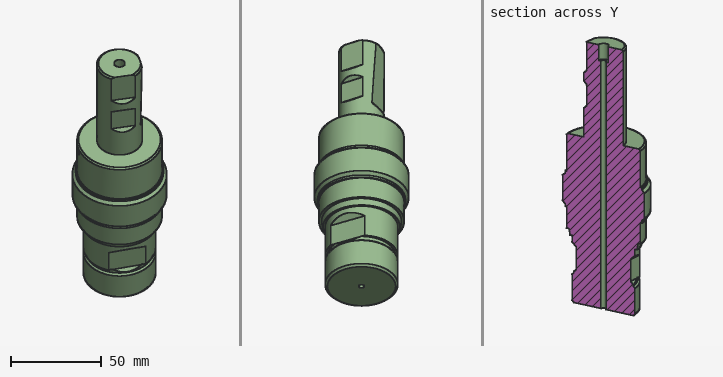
import cadquery as cq

TOTAL_LENGTH = 157.5
NOSE_TOP = 18.0
GROOVE_TOP = 20.3
WRENCH_TOP = 39.8
CONE_TOP = 43.6
LOWER_RIM_BOTTOM = 56.4
LOWER_RIM_TOP = 57.8
UPPER_RIM_BOTTOM = 76.5
UPPER_RIM_TOP = 77.8
BODY_TOP = 100.5

COLLAR_DIAMETER = 52.0
RIM_DIAMETER = 48.5
BODY_DIAMETER = 47.0
CONE_TOP_DIAMETER = 44.0
CONE_BOTTOM_DIAMETER = 42.4
NOSE_DIAMETER = 40.0
GROOVE_DIAMETER = 37.6
SHANK_DIAMETER = 25.0
BORE_DIAMETER = 3.0
BORE_MOUTH_DIAMETER = 6.0
BORE_MOUTH_DEPTH = 9.5

EDGE_CHAMFER = 1.0
NOSE_CHAMFER = 1.3
COLLAR_CHAMFER = (COLLAR_DIAMETER - RIM_DIAMETER) / 2

CLOCK_ANGLE = -8.6

CLAMP_ANGLE = -11.0
CLAMP_FLAT_DISTANCE = 10.5
CLAMP_LOWER_FLAT = (119.4, 132.0)
CLAMP_UPPER_FLAT = (140.5, TOTAL_LENGTH + 1.5)

INCLINED_FLAT_BOTTOM = 115.9
INCLINED_BOTTOM_DISTANCE = 10.1
INCLINED_TOP_DISTANCE = 11.5

WRENCH_FLAT_BOTTOM = GROOVE_TOP
WRENCH_FLAT_TOP = 33.4
WRENCH_FLAT_DISTANCE = 17.0

PIN_HOLE_DIAMETER = 4.3
PIN_HOLE_HEIGHT = 97.2
PIN_HOLE_DEPTH = 14.2

CUT_REACH = 4.7


def turned_body():
    nose_r = NOSE_DIAMETER / 2
    groove_r = GROOVE_DIAMETER / 2
    body_r = BODY_DIAMETER / 2
    rim_r = RIM_DIAMETER / 2
    collar_r = COLLAR_DIAMETER / 2
    shank_r = SHANK_DIAMETER / 2
    nose_step = nose_r - groove_r
    profile = [
        (0, 0),
        (nose_r - NOSE_CHAMFER, 0),
        (nose_r, NOSE_CHAMFER),
        (nose_r, NOSE_TOP - nose_step),
        (groove_r, NOSE_TOP),
        (groove_r, GROOVE_TOP),
        (nose_r, GROOVE_TOP),
        (nose_r, WRENCH_TOP),
        (CONE_BOTTOM_DIAMETER / 2, WRENCH_TOP),
        (CONE_TOP_DIAMETER / 2, CONE_TOP),
        (body_r, CONE_TOP),
        (body_r, LOWER_RIM_BOTTOM),
        (rim_r, LOWER_RIM_BOTTOM),
        (rim_r, LOWER_RIM_TOP),
        (collar_r, LOWER_RIM_TOP + COLLAR_CHAMFER),
        (collar_r, UPPER_RIM_BOTTOM - COLLAR_CHAMFER),
        (rim_r, UPPER_RIM_BOTTOM),
        (rim_r, UPPER_RIM_TOP),
        (body_r, UPPER_RIM_TOP),
        (body_r, BODY_TOP - EDGE_CHAMFER),
        (body_r - EDGE_CHAMFER, BODY_TOP),
        (shank_r, BODY_TOP),
        (shank_r, TOTAL_LENGTH - EDGE_CHAMFER),
        (shank_r - EDGE_CHAMFER, TOTAL_LENGTH),
        (0, TOTAL_LENGTH),
    ]
    return cq.Workplane("XZ").polyline(profile).close().revolve(360, (0, 0, 0), (0, 1, 0))


def side_cutter(outline, angle):
    """Extrude a (radial distance, height) outline sideways, then turn it about Z."""
    cutter = cq.Workplane("XZ").polyline(outline).close().extrude(COLLAR_DIAMETER / 2, both=True)
    return cutter.rotate((0, 0, 0), (0, 0, 1), angle)


def flat_cutter(distance, bottom, top, angle):
    """Cutter for an upright flat whose two end walls flare outward at 45 degrees."""
    outline = [
        (distance, bottom),
        (distance, top),
        (distance + CUT_REACH, top + CUT_REACH),
        (distance + CUT_REACH, bottom - CUT_REACH),
    ]
    return side_cutter(outline, angle)


def inclined_flat_cutter():
    reach = INCLINED_TOP_DISTANCE + CUT_REACH
    outline = [
        (INCLINED_BOTTOM_DISTANCE, INCLINED_FLAT_BOTTOM),
        (INCLINED_TOP_DISTANCE, TOTAL_LENGTH),
        (reach, TOTAL_LENGTH),
        (reach, INCLINED_FLAT_BOTTOM - (reach - INCLINED_BOTTOM_DISTANCE)),
    ]
    return side_cutter(outline, CLOCK_ANGLE + 90)


def pin_hole_cutter():
    floor = BODY_DIAMETER / 2 - PIN_HOLE_DEPTH
    cutter = (
        cq.Workplane("YZ", origin=(floor, 0, PIN_HOLE_HEIGHT))
        .circle(PIN_HOLE_DIAMETER / 2)
        .extrude(PIN_HOLE_DEPTH + CUT_REACH)
    )
    return cutter.rotate((0, 0, 0), (0, 0, 1), CLOCK_ANGLE - 90)


result = turned_body()

result = result.faces(">Z").workplane().cboreHole(BORE_DIAMETER, BORE_MOUTH_DIAMETER, BORE_MOUTH_DEPTH)

for flat_bottom, flat_top in (CLAMP_LOWER_FLAT, CLAMP_UPPER_FLAT):
    result = result.cut(flat_cutter(CLAMP_FLAT_DISTANCE, flat_bottom, flat_top, CLAMP_ANGLE))

result = result.cut(inclined_flat_cutter())

for side in (0, 180):
    result = result.cut(
        flat_cutter(WRENCH_FLAT_DISTANCE, WRENCH_FLAT_BOTTOM, WRENCH_FLAT_TOP, CLOCK_ANGLE + side)
    )

result = result.cut(pin_hole_cutter())